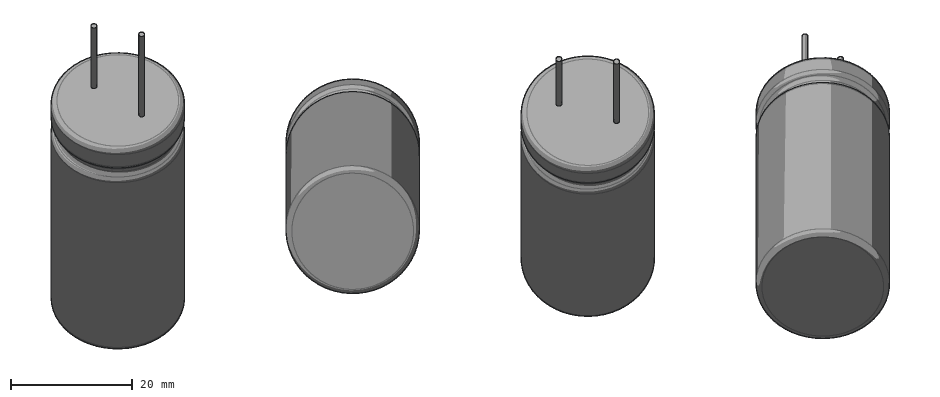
import cadquery as cq
import math


can_diameter = 22.0
can_height = 50.0
edge_radius = 1.0

neck_diameter = 20.0
groove_top_drop = 4.0
groove_width = 4.0
groove_bend_radius = 1.0

lead_diameter = 1.0
lead_spacing = 10.0
short_lead_top = 65.0
long_lead_top = 70.0

can_radius = can_diameter / 2
neck_radius = neck_diameter / 2
groove_top = can_height - groove_top_drop
groove_bottom = groove_top - groove_width

bend_angle = math.acos(1 - (can_radius - neck_radius) / (2 * groove_bend_radius))


def bend_offset(angle):
    """Radial and axial distance moved along a bend after turning by an angle away from the can axis."""
    radial = groove_bend_radius * (1 - math.cos(angle))
    axial = groove_bend_radius * math.sin(angle)
    return radial, axial


def flank_points(start_height, direction):
    """Five points down one flank, wall to neck: arc start, middle, shared end, middle, end."""
    half_radial, half_axial = bend_offset(bend_angle / 2)
    end_radial, end_axial = bend_offset(bend_angle)
    neck_height = start_height + direction * 2 * end_axial
    return [
        (can_radius, start_height),
        (can_radius - half_radial, start_height + direction * half_axial),
        (can_radius - end_radial, start_height + direction * end_axial),
        (neck_radius + half_radial, neck_height - direction * half_axial),
        (neck_radius, neck_height),
    ]


def make_can():
    lower = flank_points(groove_bottom, 1)
    upper = flank_points(groove_top, -1)[::-1]
    profile = (
        cq.Workplane("XZ")
        .lineTo(can_radius, 0)
        .lineTo(*lower[0])
        .threePointArc(lower[1], lower[2])
        .threePointArc(lower[3], lower[4])
        .lineTo(*upper[0])
        .threePointArc(upper[1], upper[2])
        .threePointArc(upper[3], upper[4])
        .lineTo(can_radius, can_height)
        .lineTo(0, can_height)
        .close()
    )
    can = profile.revolve(360, (0, 0, 0), (0, 1, 0))
    return can.faces("<Z or >Z").edges().fillet(edge_radius)


def make_lead(x, top):
    return (
        cq.Workplane("XY", origin=(x, 0, can_height))
        .circle(lead_diameter / 2)
        .extrude(top - can_height)
    )


result = make_can()
for side, top in ((-1, short_lead_top), (1, long_lead_top)):
    result = result.union(make_lead(side * lead_spacing / 2, top))